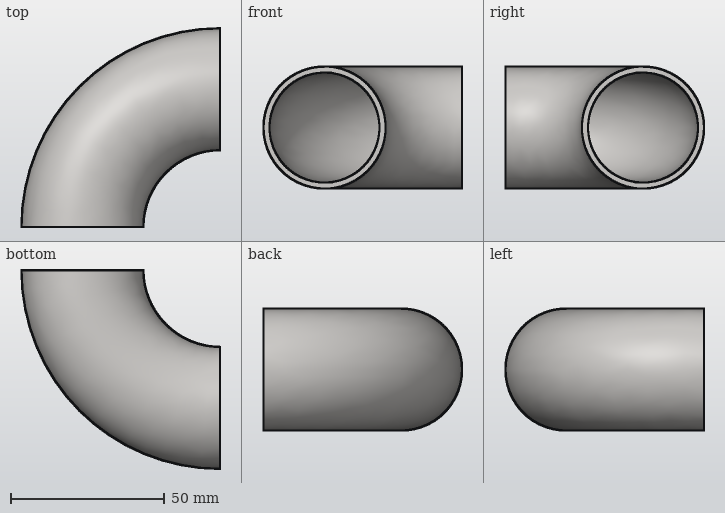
import cadquery as cq

outer_reach = 65.0
outer_diameter = 40.0
wall_thickness = 2.0
bend_angle = 90.0

inner_diameter = outer_diameter - 2 * wall_thickness
bend_radius = outer_reach - outer_diameter / 2


def pipe_elbow():
    """Sweep the pipe ring about Z, from the +X opening round to the -Y opening."""
    ring = (
        cq.Workplane("YZ")
        .center(bend_radius, 0)
        .circle(outer_diameter / 2)
        .circle(inner_diameter / 2)
    )
    axis_start = (-bend_radius, 0)
    axis_end = (-bend_radius, 1)
    return ring.revolve(bend_angle, axis_start, axis_end)


result = pipe_elbow()